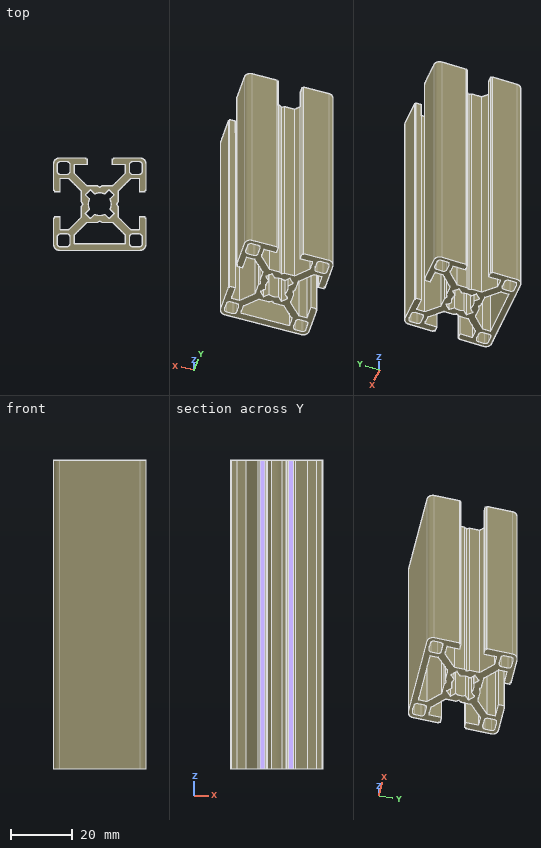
import cadquery as cq
import math

length = 100.0
side = 30.0
corner_radius = 2.0

slot_opening = 8.0
slot_width = 16.5
lip_thickness = 2.2
step_width = 0.5
step_depth = 0.3
core_side = 12.0
web_thickness = 2.5
notch_half_width = 0.8
notch_depth = 0.5

bore_diameter = 7.3
keyway_width = 2.3
keyway_reach = 5.4

corner_hole_side = 4.1
corner_hole_radius = 1.0
corner_hole_offset = 11.7

half_side = side / 2
half_core = core_side / 2
web_offset = web_thickness / 2 * math.sqrt(2)


def make_body():
    """Solid square bar with rounded long edges."""
    return cq.Workplane("XY").rect(side, side).extrude(length).edges("|Z").fillet(corner_radius)


def make_chamber():
    """Space behind the lips on the +Y side, with a V groove in its floor."""
    half_width = slot_width / 2
    half_floor = half_core - web_offset
    wall_start = half_width + web_offset
    right_half = [
        (notch_half_width, half_core),
        (half_floor, half_core),
        (half_width, wall_start),
        (half_width, half_side - lip_thickness),
    ]
    left_half = [(-x, y) for x, y in reversed(right_half)]
    groove_bottom = (0, half_core - notch_depth)
    return cq.Workplane("XY").polyline([groove_bottom] + right_half + left_half).close().extrude(length)


def make_opening():
    """Gap between the lips on the +Y side, with a shallow step along each outer lip edge."""
    lip_middle = half_side - lip_thickness / 2
    gap = cq.Workplane("XY").center(0, lip_middle).rect(slot_opening, lip_thickness).extrude(length)
    step_middle = half_side - step_depth / 2
    stepped_width = slot_opening + 2 * step_width
    step = cq.Workplane("XY").center(0, step_middle).rect(stepped_width, step_depth).extrude(length)
    return gap.union(step)


def make_bore():
    """Round bore crossed by two diagonal flat-ended keyways."""
    bore = cq.Workplane("XY").circle(bore_diameter / 2).extrude(length)
    for angle in (45, 135):
        keyway = cq.Workplane("XY").rect(2 * keyway_reach, keyway_width).extrude(length)
        bore = bore.union(keyway.rotate((0, 0, 0), (0, 0, 1), angle))
    return bore


def make_corner_holes():
    """Rounded square hole in each corner."""
    spacing = 2 * corner_hole_offset
    return (
        cq.Workplane("XY")
        .rarray(spacing, spacing, 2, 2)
        .rect(corner_hole_side, corner_hole_side)
        .extrude(length)
        .edges("|Z")
        .fillet(corner_hole_radius)
    )


result = make_body().cut(make_bore()).cut(make_corner_holes())

closed_slot_angle = 180
for slot_angle in (0, 90, 180, 270):
    slot = make_chamber()
    if slot_angle != closed_slot_angle:
        slot = slot.union(make_opening())
    result = result.cut(slot.rotate((0, 0, 0), (0, 0, 1), slot_angle))